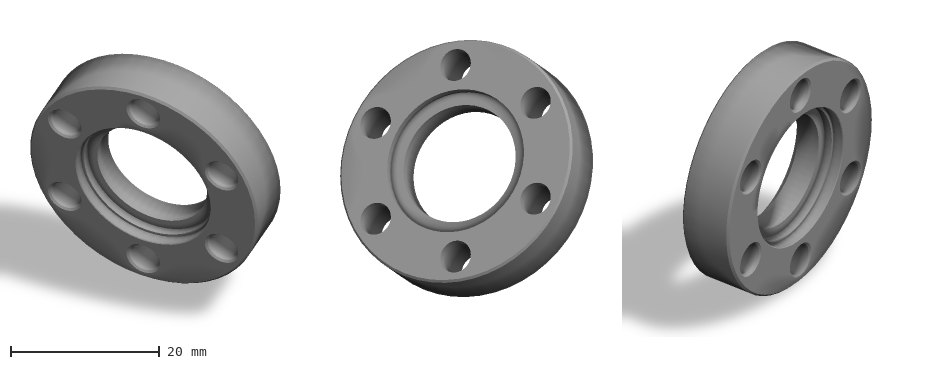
import cadquery as cq

outer_diameter = 34.0
thickness = 7.6
rim_chamfer = 0.3
ring_bore_diameter = 20.0
ring_bore_chamfer = 0.1

bolt_count = 6
bolt_circle_diameter = 27.0
bolt_hole_diameter = 4.45
bolt_hole_chamfer = 0.27

insert_bore_diameter = 16.4
insert_recess_diameter = 19.2
insert_front_depth = 1.6
insert_recess_depth = 1.2
insert_bore_length = 3.45

front_y = -thickness / 2


def cylinder(diameter, start_y, length):
    """Solid cylinder about the Y axis, running toward +Y from start_y."""
    return (
        cq.Workplane("XZ", origin=(0, start_y, 0))
        .circle(diameter / 2)
        .extrude(-length)
    )


def chamfered_hole(diameter, chamfer):
    """Cutter for a through hole that is chamfered at the front face."""
    countersink = cq.Workplane(
        cq.Solid.makeCone(
            diameter / 2 + chamfer,
            diameter / 2,
            chamfer,
            pnt=cq.Vector(0, front_y, 0),
            dir=cq.Vector(0, 1, 0),
        )
    )
    return cylinder(diameter, front_y, thickness).union(countersink)


def make_flange_ring():
    """Chamfered disc with a central bore and a circle of bolt holes."""
    ring = cylinder(outer_diameter, front_y, thickness).edges("%CIRCLE").chamfer(rim_chamfer)
    ring = ring.cut(chamfered_hole(ring_bore_diameter, ring_bore_chamfer))
    bolt_hole = chamfered_hole(bolt_hole_diameter, bolt_hole_chamfer).translate(
        (0, 0, bolt_circle_diameter / 2)
    )
    for index in range(bolt_count):
        angle = index * 360 / bolt_count
        ring = ring.cut(bolt_hole.rotate((0, 0, 0), (0, 1, 0), angle))
    return ring


def make_insert():
    """Stepped sleeve that fills the ring bore, with a shallow recess at its front."""
    insert_front_y = front_y + insert_front_depth
    insert_length = insert_recess_depth + insert_bore_length
    sleeve = cylinder(ring_bore_diameter, insert_front_y, insert_length)
    sleeve = sleeve.cut(cylinder(insert_bore_diameter, insert_front_y, insert_length))
    return sleeve.cut(cylinder(insert_recess_diameter, insert_front_y, insert_recess_depth))


flange_ring = make_flange_ring()
insert = make_insert()

result = cq.Compound.makeCompound([flange_ring.val(), insert.val()])